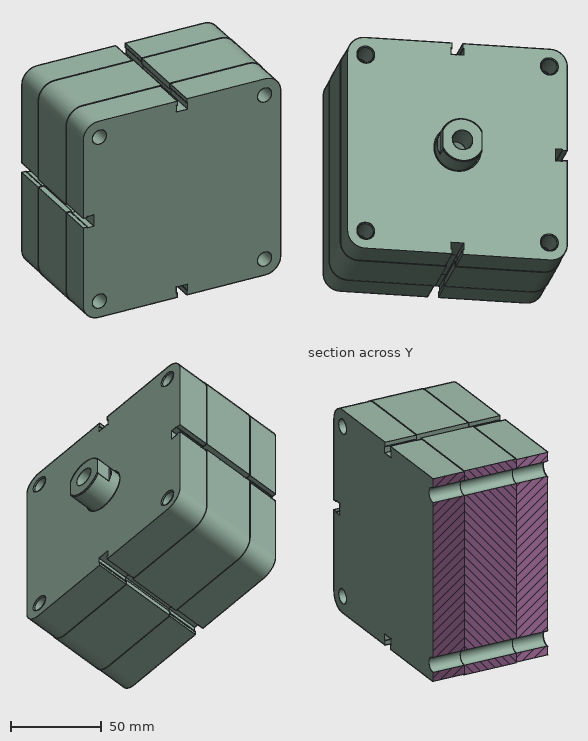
import cadquery as cq
import math

OVERALL_LENGTH = 87.0
BARREL_SIZE = 124.0
CAP_SIZE = 123.1
ROD_PROJECTION = 14.8
FRONT_CAP_LENGTH = 20.0
BARREL_LENGTH = 32.7
REAR_CAP_LENGTH = OVERALL_LENGTH - ROD_PROJECTION - FRONT_CAP_LENGTH - BARREL_LENGTH

FRONT_FACE_X = ROD_PROJECTION
BARREL_FRONT_X = FRONT_FACE_X + FRONT_CAP_LENGTH
BARREL_REAR_X = BARREL_FRONT_X + BARREL_LENGTH

BARREL_CORNER_RADIUS = 10.7
CAP_CORNER_RADIUS = 9.7

HOLE_SPACING = 102.9
HOLE_DIAMETER = 8.8
HOLE_CHAMFER = 0.6

SLOT_FLOOR_DEPTH = 7.1
SLOT_CHAMBER_WIDTH = 7.1
BARREL_NECK_WIDTH = 5.0
BARREL_LIP_THICKNESS = 3.6
CAP_NECK_WIDTH = 6.0
CAP_LIP_THICKNESS = 2.7

ROD_DIAMETER = 25.0
ROD_CHAMFER = 0.5
FLATS_WIDTH = 21.8
FLATS_LENGTH = 8.7
FLATS_BEVEL = 0.5
THREAD_HOLE_DIAMETER = 11.4
THREAD_HOLE_DEPTH = 19.8
DRILL_TIP_ANGLE = 118.0

BORE_CHAMFER = 0.7


def x_plane(x):
    """Sketch plane normal to X: local x is Y, local y is Z."""
    return cq.Workplane("YZ", origin=(x, 0, 0))


def slot_cutter(start_x, length, size, neck_width, lip_thickness):
    """T-slot profile in the top side of a block, running its full length."""
    top = size / 2
    chamber_top = top - lip_thickness
    floor = BARREL_SIZE / 2 - SLOT_FLOOR_DEPTH
    neck = x_plane(start_x).center(0, (top + floor) / 2).rect(neck_width, top - floor).extrude(length)
    chamber = (
        x_plane(start_x)
        .center(0, (chamber_top + floor) / 2)
        .rect(SLOT_CHAMBER_WIDTH, chamber_top - floor)
        .extrude(length)
    )
    return neck.union(chamber)


def housing_block(start_x, length, size, corner_radius, neck_width, lip_thickness):
    """Rounded square block with four bolt holes and T-slots on the top, bottom and -Y sides."""
    block = x_plane(start_x).rect(size, size).extrude(length)
    block = block.edges("|X").fillet(corner_radius)
    holes = (
        x_plane(start_x)
        .rect(HOLE_SPACING, HOLE_SPACING, forConstruction=True)
        .vertices()
        .circle(HOLE_DIAMETER / 2)
        .extrude(length)
    )
    block = block.cut(holes)
    slot = slot_cutter(start_x, length, size, neck_width, lip_thickness)
    for angle in (0, 90, 180):
        block = block.cut(slot.rotate((0, 0, 0), (1, 0, 0), angle))
    return block


def cap_block(start_x, length):
    """Housing block with the outline and slot lips of an end cap."""
    return housing_block(
        start_x, length, CAP_SIZE, CAP_CORNER_RADIUS, CAP_NECK_WIDTH, CAP_LIP_THICKNESS
    )


def hole_chamfer_cutter(hole_diameter, chamfer):
    """Cone on the X axis that chamfers the mouth of a hole in the front face."""
    mouth_radius = hole_diameter / 2 + chamfer
    return cq.Workplane(
        cq.Solid.makeCone(
            mouth_radius, hole_diameter / 2, chamfer, cq.Vector(FRONT_FACE_X, 0, 0), cq.Vector(1, 0, 0)
        )
    )


def make_front_cap():
    cap = cap_block(FRONT_FACE_X, FRONT_CAP_LENGTH)
    cap = cap.cut(x_plane(FRONT_FACE_X).circle(ROD_DIAMETER / 2).extrude(FRONT_CAP_LENGTH))
    cap = cap.cut(hole_chamfer_cutter(ROD_DIAMETER, BORE_CHAMFER))
    hole_chamfer = hole_chamfer_cutter(HOLE_DIAMETER, HOLE_CHAMFER)
    for y_side in (-1, 1):
        for z_side in (-1, 1):
            hole_y = y_side * HOLE_SPACING / 2
            hole_z = z_side * HOLE_SPACING / 2
            cap = cap.cut(hole_chamfer.translate((0, hole_y, hole_z)))
    return cap


def make_barrel():
    return housing_block(
        BARREL_FRONT_X,
        BARREL_LENGTH,
        BARREL_SIZE,
        BARREL_CORNER_RADIUS,
        BARREL_NECK_WIDTH,
        BARREL_LIP_THICKNESS,
    )


def make_rear_cap():
    return cap_block(BARREL_REAR_X, REAR_CAP_LENGTH)


def wrench_flat_cutter():
    """Stock above the +Y flat, with a bevel where the shoulder meets the rod surface."""
    flat_y = FLATS_WIDTH / 2
    rod_y = ROD_DIAMETER / 2
    return (
        cq.Workplane("XY")
        .moveTo(0, flat_y)
        .lineTo(FLATS_LENGTH, flat_y)
        .lineTo(FLATS_LENGTH, rod_y - FLATS_BEVEL)
        .lineTo(FLATS_LENGTH + FLATS_BEVEL, rod_y)
        .lineTo(0, rod_y)
        .close()
        .extrude(rod_y, both=True)
    )


def thread_hole_cutter():
    """Blind hole along X with a conical drill tip."""
    radius = THREAD_HOLE_DIAMETER / 2
    tip_length = radius / math.tan(math.radians(DRILL_TIP_ANGLE / 2))
    return (
        cq.Workplane("XY")
        .lineTo(0, radius)
        .lineTo(THREAD_HOLE_DEPTH, radius)
        .lineTo(THREAD_HOLE_DEPTH + tip_length, 0)
        .close()
        .revolve(360, (0, 0, 0), (1, 0, 0))
    )


def make_rod():
    rod = x_plane(0).circle(ROD_DIAMETER / 2).extrude(BARREL_FRONT_X)
    rod = rod.faces("<X").edges().chamfer(ROD_CHAMFER)
    flat = wrench_flat_cutter()
    rod = rod.cut(flat).cut(flat.mirror("XZ"))
    return rod.cut(thread_hole_cutter())


front_cap = make_front_cap()
barrel = make_barrel()
rear_cap = make_rear_cap()
piston_rod = make_rod()

result = cq.Compound.makeCompound([front_cap.val(), barrel.val(), rear_cap.val(), piston_rod.val()])